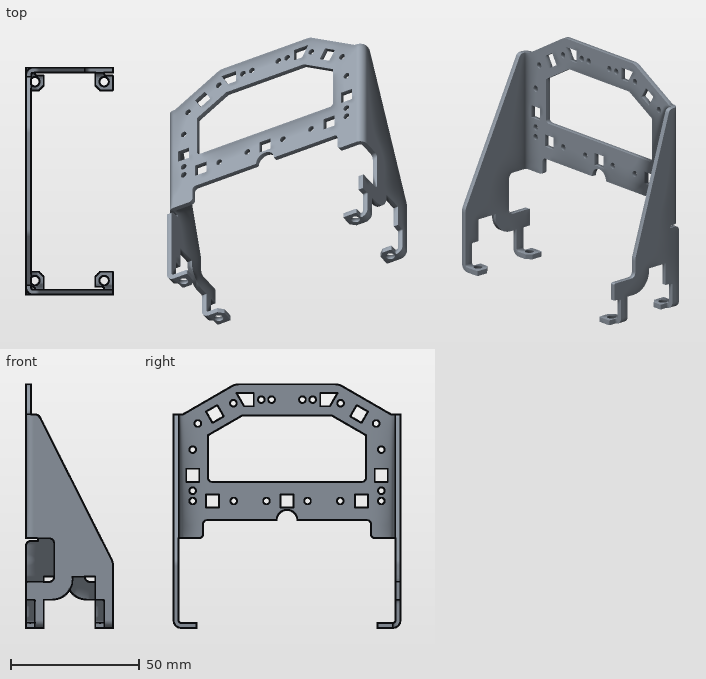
import cadquery as cq
import math


DEPTH = 34.0
WIDTH = 88.5
HEIGHT = 95.0
HALF_WIDTH = WIDTH / 2
SHEET = 2.0
BEND_INNER = 1.0
BEND_OUTER = BEND_INNER + SHEET

BEND_TOP = 83.25
BEND_BOTTOM = 35.0
SHOULDER_Y = 40.6
FRAME_ANGLE = 30.0
FRAME_SLOPE = math.tan(math.radians(FRAME_ANGLE))
CROWN_Y = SHOULDER_Y - (HEIGHT - BEND_TOP) / FRAME_SLOPE
CROWN_ROUND = 5.0
RAIL_BOTTOM = 42.0
EAR_INNER_Y = 32.7
EAR_ROUND = 1.5
ARCH_RADIUS = 4.0

WINDOW_Y = 30.75
WINDOW_BOTTOM = 57.0
WINDOW_SHOULDER = 75.1
WINDOW_TOP = 82.75
WINDOW_CROWN_Y = WINDOW_Y - (WINDOW_TOP - WINDOW_SHOULDER) / FRAME_SLOPE
WINDOW_ROUND = 1.5

PIN_DIAMETER = 2.5
SQUARE = 5.0
RAIL_ROW_Z = 49.5
POST_COLUMN_Y = 36.75
CROWN_ROW_Z = 89.0
PIN_CENTRES = [
    (8.0, RAIL_ROW_Z),
    (20.75, RAIL_ROW_Z),
    (POST_COLUMN_Y, RAIL_ROW_Z),
    (POST_COLUMN_Y, 53.5),
    (POST_COLUMN_Y, 69.5),
    (34.75, 79.7),
    (20.9, 87.6),
    (10.0, CROWN_ROW_Z),
    (6.0, CROWN_ROW_Z),
]
RAIL_SQUARE_Y = 29.0
POST_SQUARE_Z = 59.5
TILTED_SQUARE_CENTRE = (28.1, 83.4)
TRAPEZOID_INNER_Y = 13.0
TRAPEZOID_OUTER_Y = 19.6

SLOPE_TOP_X = 4.95
SLOPE_BOTTOM_Z = 25.6
SLOPE_TOP_ROUND = 2.0
SLOPE_BOTTOM_ROUND = 5.0
CUTBACK = 11.0
CUTBACK_ROUND = 2.0
RELIEF_DEPTH = 4.7
RELIEF_HEIGHT = 1.0
RELIEF_ROUND = 0.5
FRONT_CORNER_ROUND = 2.0

JOIN_Z = 22.0
ARM_TOP = 18.0
ARM_BOTTOM = 11.0
ARM_CORNER_ROUND = 2.0
ARM_END_ROUND = 0.6
NOTCH_TOP = 20.0
SWEEP_RADIUS = 8.0
SWEEP_CENTRE_X = 10.2
SWEEP_CENTRE_Z = ARM_BOTTOM + SWEEP_RADIUS

FOOT_WIDTH = 7.0
LEG_WIDTH = FOOT_WIDTH / 2
FOOT_REACH = 9.0
FOOT_HOLE_DIAMETER = 3.6
FOOT_HOLE_INSET = 3.5
FOOT_CHAMFER = 2.0
FOOT_ROUND = 0.5
LEG_ROUND = 0.6
FOOT_RELIEF_ROUND = 0.7


def frame_prism(points):
    """Sheet-thick prism of a (Y, Z) outline at the front of the bracket."""
    return cq.Workplane("YZ").polyline(points).close().extrude(SHEET)


def side_prism(outline):
    """Close an (X, Z) outline and extrude it to a sheet-thick plate at -Y."""
    return outline.close().extrude(SHEET)


def side_plane():
    """XZ plane whose extrusion ends at the outer -Y face."""
    return cq.Workplane("XZ", origin=(0, SHEET - HALF_WIDTH, 0))


def round_corner(body, point, radius):
    """Round the straight edge whose middle is nearest to the point."""
    return body.edges(cq.selectors.NearestToPointSelector(point)).fillet(radius)


def round_frame(body, y, z, radius):
    """Round a frame corner on both sides of the bracket."""
    for side in (-1, 1):
        body = round_corner(body, (SHEET / 2, side * y, z), radius)
    return body


def round_side(body, x, z, radius):
    """Round a corner of a side plate."""
    return round_corner(body, (x, SHEET / 2 - HALF_WIDTH, z), radius)


def mirrored_outline(half):
    """Close a +Y half outline, running bottom to top, into a full one."""
    return half + [(-y, z) for y, z in reversed(half)]


def make_frame_blank():
    """Frame outline between the two corner bends, without openings."""
    flat_y = HALF_WIDTH - BEND_OUTER
    half = [
        (EAR_INNER_Y, RAIL_BOTTOM),
        (EAR_INNER_Y, BEND_BOTTOM),
        (flat_y, BEND_BOTTOM),
        (flat_y, BEND_TOP),
        (SHOULDER_Y, BEND_TOP),
        (CROWN_Y, HEIGHT),
    ]
    blank = frame_prism(mirrored_outline(half))
    blank = round_frame(blank, CROWN_Y, HEIGHT, CROWN_ROUND)
    blank = round_frame(blank, EAR_INNER_Y, RAIL_BOTTOM, EAR_ROUND)
    return round_frame(blank, EAR_INNER_Y, BEND_BOTTOM, EAR_ROUND)


def make_window():
    """Large central opening."""
    half = [
        (WINDOW_Y, WINDOW_BOTTOM),
        (WINDOW_Y, WINDOW_SHOULDER),
        (WINDOW_CROWN_Y, WINDOW_TOP),
    ]
    window = frame_prism(mirrored_outline(half))
    return round_frame(window, WINDOW_Y, WINDOW_BOTTOM, WINDOW_ROUND)


def square_hole(y, z, angle=0.0):
    """Square hole at (Y, Z), turned about X by an angle in degrees."""
    hole = cq.Workplane("YZ").rect(SQUARE, SQUARE).extrude(SHEET)
    return hole.rotate((0, 0, 0), (1, 0, 0), angle).translate((0, y, z))


def make_trapezoid():
    """Hole on the crown row with a slanted outer side."""
    top = CROWN_ROW_Z + SQUARE / 2
    bottom = CROWN_ROW_Z - SQUARE / 2
    return frame_prism([
        (TRAPEZOID_INNER_Y, bottom),
        (TRAPEZOID_OUTER_Y - SQUARE * FRAME_SLOPE, bottom),
        (TRAPEZOID_OUTER_Y, top),
        (TRAPEZOID_INNER_Y, top),
    ])


def make_frame():
    """Flat frame with all its openings."""
    frame = make_frame_blank().cut(make_window())
    arch = cq.Workplane("YZ").center(0, RAIL_BOTTOM).circle(ARCH_RADIUS).extrude(SHEET)
    frame = frame.cut(arch).cut(square_hole(0, RAIL_ROW_Z))
    pins = cq.Workplane("YZ").pushPoints(PIN_CENTRES).circle(PIN_DIAMETER / 2).extrude(SHEET)
    one_side = [
        pins,
        square_hole(RAIL_SQUARE_Y, RAIL_ROW_Z),
        square_hole(POST_COLUMN_Y, POST_SQUARE_Z),
        square_hole(*TILTED_SQUARE_CENTRE, -FRAME_ANGLE),
        make_trapezoid(),
    ]
    for hole in one_side:
        frame = frame.cut(hole).cut(hole.mirror("XZ"))
    return frame


def quarter_bend(plane, length):
    """Quarter ring about the plane origin, in its third quadrant."""
    ring = cq.Workplane(plane).circle(BEND_OUTER).circle(BEND_INNER).extrude(length)
    corner = cq.Workplane(plane).rect(-BEND_OUTER, -BEND_OUTER, centered=False).extrude(length)
    return ring.intersect(corner)


def make_corner_bend():
    """Upright bend joining the frame to the side plate at -Y."""
    bend = quarter_bend("XY", BEND_TOP - BEND_BOTTOM)
    return bend.translate((BEND_OUTER, BEND_OUTER - HALF_WIDTH, BEND_BOTTOM))


def make_panel(back_x, front_points):
    """Upper part of a side plate, from its front edge to a back edge at back_x."""
    points = front_points + [
        (BEND_OUTER, BEND_BOTTOM),
        (BEND_OUTER, BEND_TOP),
        (SLOPE_TOP_X, BEND_TOP),
        (back_x, SLOPE_BOTTOM_Z),
        (back_x, JOIN_Z),
    ]
    panel = side_prism(side_plane().polyline(points))
    panel = round_side(panel, SLOPE_TOP_X, BEND_TOP, SLOPE_TOP_ROUND)
    return round_side(panel, back_x, SLOPE_BOTTOM_Z, SLOPE_BOTTOM_ROUND)


def make_cutback_front_panel():
    """Full-depth panel whose front is cut back below the corner bend."""
    front = [(CUTBACK, JOIN_Z), (CUTBACK, BEND_BOTTOM)]
    panel = make_panel(DEPTH, front)
    return round_side(panel, CUTBACK, BEND_BOTTOM, CUTBACK_ROUND)


def make_cutback_rear_panel():
    """Panel that reaches the front below a bend relief and is cut back at the rear."""
    relief_bottom = BEND_BOTTOM - RELIEF_HEIGHT
    front = [
        (0, JOIN_Z),
        (0, relief_bottom),
        (RELIEF_DEPTH, relief_bottom),
        (RELIEF_DEPTH, BEND_BOTTOM),
    ]
    panel = make_panel(DEPTH - CUTBACK, front)
    panel = round_side(panel, RELIEF_DEPTH, BEND_BOTTOM, RELIEF_ROUND)
    return round_side(panel, 0, relief_bottom, FRONT_CORNER_ROUND)


def make_lower_plate():
    """Arm to the front, swept notch and two legs, down to the foot bends."""
    rear_leg_x = DEPTH - FOOT_WIDTH
    sweep_end_x = SWEEP_CENTRE_X + math.sqrt(SWEEP_RADIUS**2 - (NOTCH_TOP - SWEEP_CENTRE_Z) ** 2)
    diagonal = SWEEP_RADIUS * math.sqrt(0.5)
    sweep_middle = (SWEEP_CENTRE_X + diagonal, SWEEP_CENTRE_Z - diagonal)
    outline = (
        side_plane()
        .moveTo(0, ARM_TOP)
        .lineTo(CUTBACK, ARM_TOP)
        .lineTo(CUTBACK, JOIN_Z)
        .lineTo(DEPTH, JOIN_Z)
        .lineTo(DEPTH, BEND_OUTER)
        .lineTo(DEPTH - LEG_WIDTH, BEND_OUTER)
        .lineTo(DEPTH - LEG_WIDTH, ARM_BOTTOM)
        .lineTo(rear_leg_x, ARM_BOTTOM)
        .lineTo(rear_leg_x, NOTCH_TOP)
        .lineTo(sweep_end_x, NOTCH_TOP)
        .threePointArc(sweep_middle, (SWEEP_CENTRE_X, ARM_BOTTOM))
        .lineTo(FOOT_WIDTH, ARM_BOTTOM)
        .lineTo(FOOT_WIDTH, BEND_OUTER)
        .lineTo(LEG_WIDTH, BEND_OUTER)
        .lineTo(LEG_WIDTH, ARM_BOTTOM)
        .lineTo(0, ARM_BOTTOM)
    )
    plate = side_prism(outline)
    plate = round_side(plate, CUTBACK, ARM_TOP, ARM_CORNER_ROUND)
    plate = round_side(plate, 0, ARM_TOP, ARM_END_ROUND)
    for leg_x in (LEG_WIDTH, DEPTH - LEG_WIDTH):
        plate = round_side(plate, leg_x, ARM_BOTTOM, LEG_ROUND)
    return plate


def make_foot_tab():
    """Flat foot tab at the front of the -Y side, pointing inward."""
    length = FOOT_REACH - BEND_OUTER
    tab = cq.Workplane("XY").rect(FOOT_WIDTH, length, centered=False).extrude(SHEET)
    tab = tab.edges("|Z and >X and >Y").chamfer(FOOT_CHAMFER)
    tab = tab.edges("|Z and <X and >Y").fillet(FOOT_ROUND)
    hole = cq.Workplane("XY").circle(FOOT_HOLE_DIAMETER / 2).extrude(SHEET)
    hole = hole.translate((FOOT_WIDTH / 2, length - FOOT_HOLE_INSET, 0))
    return tab.cut(hole).translate((0, BEND_OUTER - HALF_WIDTH, 0))


def make_foot_bend():
    """Bend from a foot up to its leg, relieved on the side away from the leg."""
    bend = quarter_bend("YZ", FOOT_WIDTH).translate((0, BEND_OUTER, BEND_OUTER))
    relief = cq.Workplane("XY").rect(LEG_WIDTH, BEND_OUTER, centered=False).extrude(BEND_OUTER)
    relief = relief.edges("|Z and >X and >Y").fillet(FOOT_RELIEF_ROUND)
    return bend.cut(relief).translate((0, -HALF_WIDTH, 0))


def join_foot(tab, front_x):
    """Join a tab to its bend and round the tab corner beside the relief."""
    tab = round_corner(tab, (front_x, BEND_OUTER - HALF_WIDTH, SHEET / 2), FOOT_ROUND)
    return tab.union(make_foot_bend().translate((front_x, 0, 0)))


def make_feet():
    """Front and rear foot of the -Y side with the bends up to their legs."""
    front_tab = make_foot_tab()
    rear_tab = front_tab.mirror("YZ", (DEPTH / 2, 0, 0))
    return join_foot(front_tab, 0).union(join_foot(rear_tab, DEPTH - FOOT_WIDTH))


def make_side(panel, lower):
    """Complete -Y side: corner bend, upper panel and lower plate with its feet."""
    return make_corner_bend().union(panel).union(lower)


lower_near = make_lower_plate().union(make_feet())
lower_reversed = lower_near.mirror("YZ", (DEPTH / 2, 0, 0))
near_side = make_side(make_cutback_front_panel(), lower_near)
far_side = make_side(make_cutback_rear_panel(), lower_reversed).mirror("XZ")

result = make_frame().union(near_side).union(far_side)